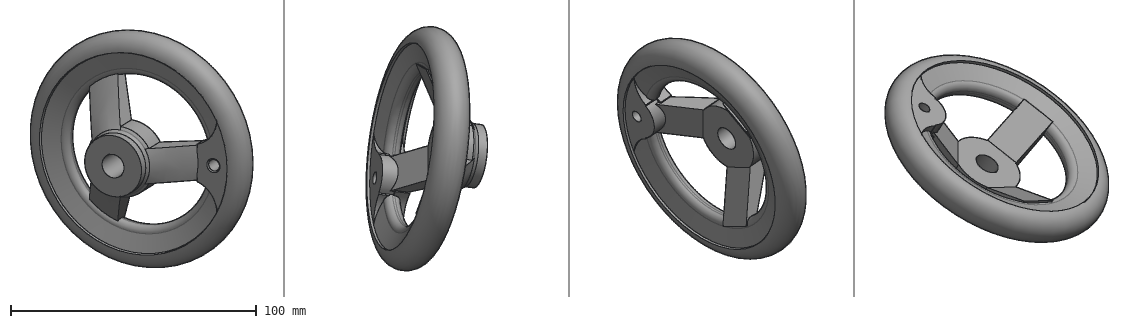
import cadquery as cq
import math

outer_radius = 50.0
grip_radius = 7.5
grip_centre_radius = outer_radius - grip_radius
dish_depth = 1.2
grip_lip_radius = 42.8
web_inner_radius = 32.0
web_round = 3.0
web_half_thickness = 3.5

hub_radius = 15.0
hub_rear = -8.8
hub_shoulder = -18.9
neck_start = -20.0
neck_radius = 13.9
disc_radius = 13.0
disc_start = -21.7
hub_front = -25.5
bore_diameter = 10.0

spoke_count = 3
spoke_width = 15.0
spoke_start_radius = 9.0
rear_start_radius = 13.3
spoke_end_radius = 33.5
front_slope = 0.91
rear_slope = 0.65

handle_radius = 36.0
handle_hole_diameter = 4.9
handle_mouth_diameter = 6.0
boss_radius = 9.8
boss_front = -3.5
pad_inner_x = 28.5
rear_pad_inner_x = 31.0
pad_rear = 0.0
scallop_radius = 12.5
scallop_x = 25.0
scallop_z = 20.0


def make_rim():
    """Round grip with a dished web on both faces and a rounded inner edge."""
    face = grip_radius - dish_depth
    lip = math.sqrt(grip_radius**2 - (grip_lip_radius - grip_centre_radius) ** 2)
    round_radius = web_inner_radius + web_round
    flat = web_half_thickness - web_round
    diagonal = web_round * math.sqrt(0.5)
    middle_radius = round_radius - diagonal
    return (
        cq.Workplane("XY")
        .moveTo(grip_lip_radius, -lip)
        .threePointArc((outer_radius, 0), (grip_centre_radius, grip_radius))
        .lineTo(grip_centre_radius, face)
        .lineTo(round_radius, web_half_thickness)
        .threePointArc((middle_radius, flat + diagonal), (web_inner_radius, flat))
        .lineTo(web_inner_radius, -flat)
        .threePointArc((middle_radius, -flat - diagonal), (round_radius, -web_half_thickness))
        .lineTo(grip_centre_radius, -face)
        .close()
        .revolve(360, (0, 0, 0), (0, 1, 0))
    )


def make_hub():
    """Stepped hub with a tapered neck behind its front disc."""
    return (
        cq.Workplane("XY")
        .moveTo(0, hub_rear)
        .lineTo(hub_radius, hub_rear)
        .lineTo(hub_radius, hub_shoulder)
        .lineTo(neck_radius, neck_start)
        .lineTo(disc_radius, disc_start)
        .lineTo(disc_radius, hub_front)
        .lineTo(0, hub_front)
        .close()
        .revolve(360, (0, 0, 0), (0, 1, 0))
    )


def make_front_cone():
    """Solid bounded in front by the cone that carries the spoke faces."""
    apex = neck_start - front_slope * neck_radius
    base = apex + front_slope * outer_radius
    return (
        cq.Workplane("XY")
        .polyline([(0, apex), (outer_radius, base), (0, base)])
        .close()
        .revolve(360, (0, 0, 0), (0, 1, 0))
    )


def make_spoke():
    """Sloping spoke along +X with a conical front face and a flat rear face."""
    rear_end = hub_rear + rear_slope * (spoke_end_radius - rear_start_radius)
    outline = [
        (spoke_start_radius, hub_rear),
        (spoke_start_radius, hub_front),
        (spoke_end_radius, hub_front),
        (spoke_end_radius, rear_end),
        (rear_start_radius, hub_rear),
    ]
    bar = cq.Workplane("XY").polyline(outline).close().extrude(spoke_width / 2, both=True)
    return bar.intersect(make_front_cone())


def make_disc(x, z, radius, front, rear):
    """Cylinder along Y between two axial positions."""
    return (
        cq.Workplane("XZ", origin=(x, front, z))
        .circle(radius)
        .extrude(front - rear)
    )


def make_scalloped_slab(inner_x, front, rear):
    """Slab from inner_x out to the grip, with a round scallop on each side."""
    length = grip_centre_radius - inner_x
    slab = (
        cq.Workplane("XY")
        .box(length, rear - front, 2 * scallop_z)
        .translate((inner_x + length / 2, (front + rear) / 2, 0))
        .intersect(make_disc(0, 0, grip_centre_radius, front, rear))
    )
    for side in (-1, 1):
        slab = slab.cut(make_disc(scallop_x, side * scallop_z, scallop_radius, front, rear))
    return slab


def make_handle_pad():
    """Flat pad across the dish; its rear half is set back to a round boss."""
    rear = grip_radius - dish_depth
    return (
        make_scalloped_slab(pad_inner_x, -rear, pad_rear)
        .union(make_scalloped_slab(rear_pad_inner_x, pad_rear, rear))
        .union(make_disc(handle_radius, 0, boss_radius, boss_front, rear))
    )


def make_handle_hole():
    """Through hole with a chamfered mouth on the front of the pad."""
    front = grip_radius - dish_depth
    radius = handle_hole_diameter / 2
    mouth_radius = handle_mouth_diameter / 2
    return (
        cq.Workplane("XY")
        .moveTo(0, -front)
        .lineTo(mouth_radius, -front)
        .lineTo(radius, -front + mouth_radius - radius)
        .lineTo(radius, front)
        .lineTo(0, front)
        .close()
        .revolve(360, (0, 0, 0), (0, 1, 0))
        .translate((handle_radius, 0, 0))
    )


result = make_rim().union(make_hub())
for index in range(spoke_count):
    angle = index * 360 / spoke_count
    result = result.union(make_spoke().rotate((0, 0, 0), (0, 1, 0), angle))
result = result.union(make_handle_pad())

bore = cq.Workplane("XZ").circle(bore_diameter / 2).extrude(outer_radius, both=True)
result = result.cut(bore).cut(make_handle_hole())